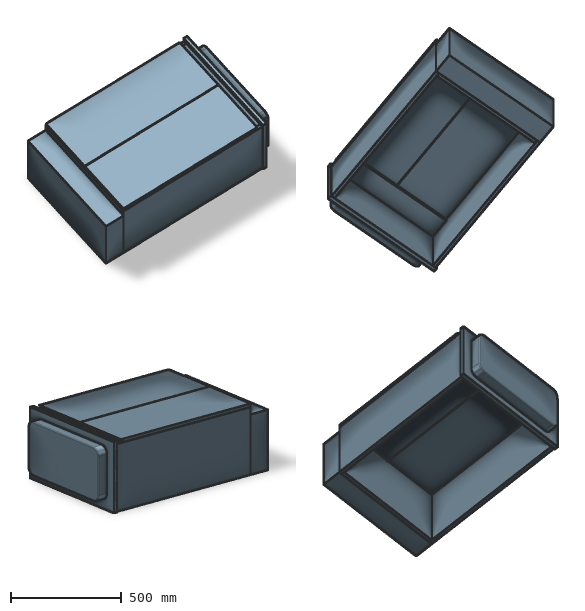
import cadquery as cq


total_length = 950.0
worktop_width = 600.0
total_depth = 341.0

plinth_height = 100.0
worktop_thickness = 20.0
basin_height = 50.0
cabinet_height = total_length - plinth_height - worktop_thickness - basin_height
cabinet_bottom = plinth_height
worktop_bottom = cabinet_bottom + cabinet_height
worktop_top = worktop_bottom + worktop_thickness

cabinet_width = 589.0
board_thickness = 16.0
door_thickness = 16.0
cabinet_depth = total_depth - door_thickness
inner_width = cabinet_width - 2 * board_thickness
rail_height = 100.0
plinth_depth = 290.0

door_gap = 2.0
door_side_inset = 2.0
door_top_clearance = 28.0
door_width = (cabinet_width - door_gap) / 2 - door_side_inset
door_height = cabinet_height - door_top_clearance
door_bevel = door_thickness

basin_width = 502.0
basin_depth = 259.0
basin_back_offset = 46.0
basin_corner_radius = 35.0
basin_rim_radius = 4.0
basin_draft = 1.0


def board(width, height, depth, bottom, center_x=0.0, back=0.0):
    """Block centred on center_x, rising from bottom along Y and from back along Z."""
    return cq.Workplane("XY").box(width, height, depth, centered=(True, False, False)).translate(
        (center_x, bottom, back)
    )


def make_side_panel(side):
    """Full-height board at the left (-1) or right (+1) of the cabinet."""
    center_x = side * (cabinet_width - board_thickness) / 2
    return board(board_thickness, cabinet_height, cabinet_depth, cabinet_bottom, center_x)


def make_door(side):
    """Door on the cabinet front, its top edge sloping up to its outer face."""
    inner_edge = side * door_gap / 2
    top = cabinet_bottom + door_height
    profile = [
        (cabinet_bottom, cabinet_depth),
        (top - door_bevel, cabinet_depth),
        (top, total_depth),
        (cabinet_bottom, total_depth),
    ]
    return (
        cq.Workplane("YZ", origin=(inner_edge, 0, 0))
        .polyline(profile)
        .close()
        .extrude(side * door_width)
    )


def make_basin():
    """Solid basin standing on the worktop, with rounded corners, drafted sides and a softened rim."""
    center_z = basin_back_offset + basin_depth / 2
    footprint = cq.Sketch().rect(basin_width, basin_depth).vertices().fillet(basin_corner_radius)
    body = (
        cq.Workplane("XZ", origin=(0, worktop_top, center_z))
        .placeSketch(footprint)
        .extrude(-basin_height, taper=basin_draft)
    )
    return body.faces(">Y").edges().fillet(basin_rim_radius)


plinth = board(cabinet_width, plinth_height, plinth_depth, 0.0)
bottom_panel = board(inner_width, board_thickness, cabinet_depth, cabinet_bottom)
front_rail = board(
    inner_width,
    rail_height,
    board_thickness,
    worktop_bottom - rail_height,
    back=cabinet_depth - board_thickness,
)
worktop = board(worktop_width, worktop_thickness, total_depth, worktop_bottom)
basin = make_basin()
side_panels = [make_side_panel(side) for side in (-1, 1)]
doors = [make_door(side) for side in (-1, 1)]

result = cq.Compound.makeCompound(
    [
        plinth.val(),
        bottom_panel.val(),
        front_rail.val(),
        worktop.val(),
        basin.val(),
        *[panel.val() for panel in side_panels],
        *[door.val() for door in doors],
    ]
)